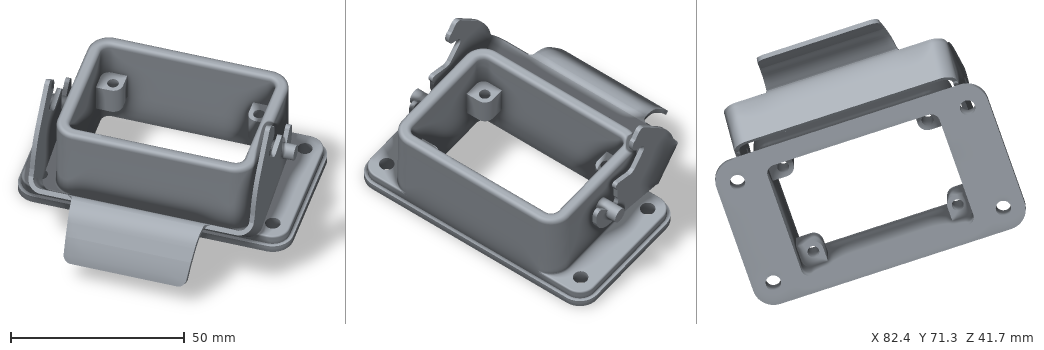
import cadquery as cq
import math

diagonal = math.sqrt(0.5)

flange_length = 82.4
flange_depth = 45.3
flange_top = 2.2
flange_corner = 6.2
step_inset = 1.1
step_top = 5.0
step_edge_radius = 0.5
screw_hole_diameter = 4.45
screw_x = 34.9
screw_y = 16.0

body_length = 60.0
body_top = 28.6
draft_line = 23.1
draft = 0.4
draft_slope = math.tan(math.radians(draft))
draft_growth = draft_slope * (draft_line - step_top)
foot_depth = flange_depth - 2 * step_inset
foot_length = body_length + 2 * draft_growth
body_depth = foot_depth - 2 * draft_growth
body_corner = 6.4
wall = 3.8
rim_radius = 1.3
foot_fillet = 0.4
cavity_length = body_length - 2 * wall
cavity_depth = body_depth - 2 * wall
cavity_corner = body_corner - wall

boss_top = 17.55
boss_bottom = 9.1
boss_inner_x = 18.9
boss_inner_y = 10.5
boss_corner = 2.9
boss_hole_diameter = 3.4
boss_hole_x = 21.9
boss_hole_y = 13.5

pin_z = 18.95
pin_radius = 2.3
pin_end = 37.0

sheet = 1.4
lever_half_width = 33.8
bend_radius = 4.4
bar_low = (-21.8, 9.55)
bar_rise = 9.3
bar_high = (bar_low[0] - bar_rise, bar_low[1] + bar_rise)
bar_width = bar_rise / diagonal

tab_root_half = 19.8
tab_end_half = 18.3
tab_root_y = -33.45
tab_end_y = -48.6
tab_end_top = 4.9
tab_root_fillet = 1.6
tab_corner = 2.5


def rounded_block(length, depth, corner, bottom, top):
    """Upright block centred on the Z axis with rounded vertical corners."""
    block = cq.Workplane("XY").workplane(offset=bottom).rect(length, depth).extrude(top - bottom)
    return block.edges("|Z").fillet(corner)


def drafted_block(length, depth, corner, top, height, taper):
    """Block hanging down from `top`, its walls leaning by `taper` degrees."""
    outline = cq.Sketch().rect(length, depth).vertices().fillet(corner)
    return cq.Workplane("XY").workplane(offset=top).placeSketch(outline).extrude(-height, taper=taper)


def four_points(x, y):
    return [(x, y), (-x, y), (-x, -y), (x, -y)]


def make_base():
    flange = rounded_block(flange_length, flange_depth, flange_corner, 0, flange_top)
    step_length = flange_length - 2 * step_inset
    step_corner = flange_corner - step_inset
    step = rounded_block(step_length, foot_depth, step_corner, flange_top, step_top)
    step = step.faces(">Z").edges().fillet(step_edge_radius)
    base = flange.union(step)
    holes = (
        cq.Workplane("XY")
        .pushPoints(four_points(screw_x, screw_y))
        .circle(screw_hole_diameter / 2)
        .extrude(step_top)
    )
    return base.cut(holes)


def make_lower_walls():
    """Drafted walls with a small concave fillet where their ends meet the step."""
    walls = drafted_block(body_length, body_depth, body_corner, draft_line, draft_line - step_top, -draft)
    spread = cq.Workplane("XY").box(flange_length, flange_length, step_top, centered=(True, True, False))
    half_length = foot_length / 2 + foot_fillet
    half_depth = foot_depth / 2 + foot_fillet
    seam = cq.selectors.BoxSelector(
        (-half_length, -half_depth, step_top - foot_fillet),
        (half_length, half_depth, step_top + foot_fillet),
    )
    flared = walls.union(spread).edges(seam).fillet(foot_fillet)
    limits = cq.Workplane("XY").workplane(offset=draft_line).rect(flange_length, body_depth)
    return flared.intersect(limits.extrude(step_top - draft_line, taper=-draft))


def make_body():
    rim = rounded_block(body_length, body_depth, body_corner, draft_line, body_top)
    rim = rim.cut(rounded_block(cavity_length, cavity_depth, cavity_corner, draft_line, body_top))
    rim = rim.faces(">Z").edges().fillet(rim_radius)
    foot_corner = body_corner + draft_growth
    foot = rounded_block(foot_length, foot_depth, foot_corner, flange_top, step_top)
    return rim.union(make_lower_walls()).union(foot)


def make_cavity():
    """Opening below the rim: drafted down to the boss undersides, then straight."""
    drafted = drafted_block(
        cavity_length, cavity_depth, cavity_corner, draft_line, draft_line - boss_bottom, draft)
    shrink = draft_slope * (draft_line - boss_bottom)
    straight = rounded_block(
        cavity_length - 2 * shrink, cavity_depth - 2 * shrink, cavity_corner - shrink, 0, boss_bottom)
    return drafted.union(straight)


def make_bosses():
    core = (
        cq.Workplane("XY")
        .workplane(offset=boss_bottom)
        .rect(body_length - wall, body_depth - wall)
        .extrude(boss_top - boss_bottom)
    )
    gap_x = cq.Workplane("XY").box(2 * boss_inner_x, body_depth, 2 * body_top)
    gap_y = cq.Workplane("XY").box(body_length, 2 * boss_inner_y, 2 * body_top)
    bosses = core.cut(gap_x).cut(gap_y)
    reach_x = boss_inner_x + boss_corner
    reach_y = boss_inner_y + boss_corner
    inner_corners = cq.selectors.BoxSelector((-reach_x, -reach_y, 0), (reach_x, reach_y, body_top))
    bosses = bosses.edges("|Z").edges(inner_corners).fillet(boss_corner)
    holes = (
        cq.Workplane("XY")
        .pushPoints(four_points(boss_hole_x, boss_hole_y))
        .circle(boss_hole_diameter / 2)
        .extrude(body_top)
    )
    return bosses.cut(holes)


def make_pin():
    """Pivot pin at +X, rooted in the middle of the housing wall."""
    root = (body_length - wall) / 2
    pin = cq.Workplane("YZ").workplane(offset=root).center(0, pin_z)
    return pin.circle(pin_radius).extrude(pin_end - root)


def pin_point(angle):
    """Point (Y, Z) on the pin surface, the angle measured from +Y towards +Z."""
    turn = math.radians(angle)
    return (pin_radius * math.cos(turn), pin_z + pin_radius * math.sin(turn))


def make_lever_plate():
    """Side plate of the lever at +X, its open slot hooked on the pin."""
    return (
        cq.Workplane("YZ")
        .workplane(offset=lever_half_width - sheet)
        .moveTo(*bar_low)
        .lineTo(0.9, 13.5)
        .threePointArc((5.1, 15.8), (6.8, 19.4))
        .lineTo(6.8, 22.25)
        .threePointArc((5.6, 23.7), (4.1, 23.1))
        .lineTo(*pin_point(45))
        .threePointArc(pin_point(-80), pin_point(195))
        .threePointArc((-3.4, 19.7), (-3.05, 21.75))
        .lineTo(-3.05, 25.05)
        .lineTo(-2.3, 26.5)
        .threePointArc((-2.55, 27.5), (-3.7, 27.85))
        .lineTo(-8.2, 26.6)
        .threePointArc((-9.7, 26.3), (-11.0, 26.7))
        .lineTo(-15.2, 30.65)
        .threePointArc((-15.7, 32.1), (-14.3, 33.6))
        .lineTo(-11.8, 34.6)
        .threePointArc((-10.3, 37.2), (-10.9, 39.0))
        .lineTo(-11.6, 39.4)
        .lineTo(-13.1, 41.0)
        .threePointArc((-14.4, 41.7), (-15.9, 41.0))
        .lineTo(-24.0, 32.8)
        .threePointArc((-28.2, 26.8), (-30.15, 20.9))
        .lineTo(*bar_high)
        .close()
        .extrude(sheet)
    )


def make_crossbar():
    """Flat bar with a quarter bend at each end, swept along the 45 degree tilt."""
    tilted = cq.Plane(origin=(0, *bar_low), xDir=(1, 0, 0), normal=(0, -1, 1))
    outer = lever_half_width
    inner = outer - sheet
    bend_x = outer - bend_radius
    inner_radius = bend_radius - sheet
    outer_mid = (bend_x + bend_radius * diagonal, -bend_radius * diagonal)
    inner_mid = (bend_x + inner_radius * diagonal, -inner_radius * diagonal)
    return (
        cq.Workplane(tilted)
        .moveTo(-outer, 0)
        .threePointArc((-outer_mid[0], outer_mid[1]), (-bend_x, -bend_radius))
        .lineTo(bend_x, -bend_radius)
        .threePointArc(outer_mid, (outer, 0))
        .lineTo(inner, 0)
        .threePointArc(inner_mid, (bend_x, -inner_radius))
        .lineTo(-bend_x, -inner_radius)
        .threePointArc((-inner_mid[0], inner_mid[1]), (-inner, 0))
        .close()
        .extrude(bar_width)
    )


def make_tab():
    """Curved finger tab: side profile trimmed to a tapered plan outline."""
    bend_shift = bend_radius * diagonal
    sheet_shift = sheet * diagonal
    bar_outer = (bar_high[0] - bend_shift, bar_high[1] - bend_shift)
    bar_inner = (bar_outer[0] + sheet_shift, bar_outer[1] + sheet_shift)
    profile = (
        cq.Workplane("YZ")
        .moveTo(*bar_inner)
        .threePointArc((-34.1, 17.05), (-35.25, 17.1))
        .threePointArc((-38.3, 16.2), (-41.3, 14.0))
        .lineTo(-44.15, 11.0)
        .threePointArc((-46.6, 7.9), (tab_end_y, tab_end_top))
        .lineTo(-47.45, 4.4)
        .threePointArc((-45.5, 7.25), (-43.25, 10.2))
        .lineTo(-40.4, 13.2)
        .threePointArc((-37.9, 15.1), (-34.9, 16.0))
        .lineTo(-34.6, 16.0)
        .lineTo(*bar_outer)
        .close()
        .extrude(lever_half_width, both=True)
    )
    flare_half = tab_root_half + tab_root_fillet
    flare_end = tab_root_y - tab_root_fillet
    flare_mid = tab_root_fillet * (1 - diagonal)
    inside_bar = bar_high[0]
    plan = (
        cq.Workplane("XY")
        .moveTo(-flare_half, inside_bar)
        .lineTo(-flare_half, tab_root_y)
        .threePointArc((-tab_root_half - flare_mid, tab_root_y - flare_mid), (-tab_root_half, flare_end))
        .lineTo(-tab_end_half, tab_end_y)
        .lineTo(tab_end_half, tab_end_y)
        .lineTo(tab_root_half, flare_end)
        .threePointArc((tab_root_half + flare_mid, tab_root_y - flare_mid), (flare_half, tab_root_y))
        .lineTo(flare_half, inside_bar)
        .close()
        .extrude(body_top)
    )
    tab = profile.intersect(plan)
    free_end = cq.selectors.BoxSelector(
        (-tab_root_half, tab_end_y - sheet, 0), (tab_root_half, tab_end_y + sheet, tab_end_top))
    return tab.edges(free_end).edges("not |X").fillet(tab_corner)


result = make_base().union(make_body()).cut(make_cavity()).union(make_bosses())
pin = make_pin()
result = result.union(pin).union(pin.mirror("YZ"))
plate = make_lever_plate()
result = result.union(plate).union(plate.mirror("YZ")).union(make_crossbar()).union(make_tab())